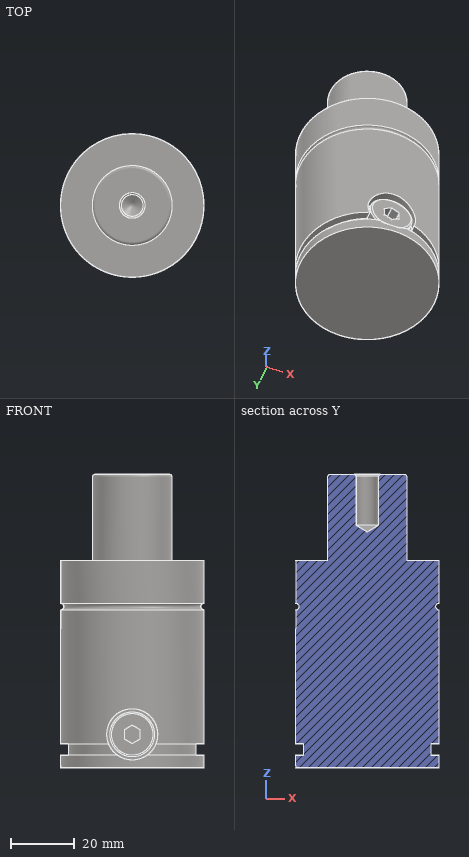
import cadquery as cq
import math

body_diameter = 45.0
body_radius = body_diameter / 2
shoulder_height = 65.0
overall_height = 92.0

clamp_groove_diameter = 40.0
clamp_groove_bottom = 4.0
clamp_groove_top = 7.5

round_groove_radius = 1.0
round_groove_height = 50.5

rod_diameter = 25.0
rod_edge_radius = 1.0

hole_diameter = 6.8
hole_depth = 16.0
hole_mouth_diameter = 8.0
drill_point_angle = 118.0

port_height = 10.5
port_diameter = 16.0
port_floor = 17.5
plug_diameter = 14.0
plug_face = 21.0
plug_chamfer = 0.5
socket_across_flats = 5.0
socket_depth = 4.0


def make_body():
    """Body and rod turned about Z, with both grooves."""
    body = cq.Workplane("XY").circle(body_radius).extrude(shoulder_height)
    rod = (
        cq.Workplane("XY", origin=(0, 0, shoulder_height))
        .circle(rod_diameter / 2)
        .extrude(overall_height - shoulder_height)
        .faces(">Z").edges().fillet(rod_edge_radius)
    )
    clamp_groove = (
        cq.Workplane("XY", origin=(0, 0, clamp_groove_bottom))
        .circle(body_radius)
        .circle(clamp_groove_diameter / 2)
        .extrude(clamp_groove_top - clamp_groove_bottom)
    )
    round_groove = cq.Workplane(
        cq.Solid.makeTorus(
            body_radius,
            round_groove_radius,
            cq.Vector(0, 0, round_groove_height),
            cq.Vector(0, 0, 1),
        )
    )
    return body.union(rod).cut(clamp_groove).cut(round_groove)


def make_rod_hole():
    """Blind drilled hole with a 45 degree countersink and a conical bottom."""
    hole_radius = hole_diameter / 2
    mouth_radius = hole_mouth_diameter / 2
    countersink_depth = mouth_radius - hole_radius
    point_length = hole_radius / math.tan(math.radians(drill_point_angle / 2))
    hole_bottom = overall_height - hole_depth
    return (
        cq.Workplane("XZ")
        .moveTo(0, overall_height)
        .lineTo(mouth_radius, overall_height)
        .lineTo(hole_radius, overall_height - countersink_depth)
        .lineTo(hole_radius, hole_bottom)
        .lineTo(0, hole_bottom - point_length)
        .close()
        .revolve(360, (0, 0, 0), (0, 1, 0))
    )


def port_plane(distance_from_axis):
    """Plane facing -Y, centred on the port."""
    return cq.Workplane("XZ", origin=(0, -distance_from_axis, port_height))


def make_port():
    """Flat-bottomed round pocket open to the -Y side."""
    return port_plane(port_floor).circle(port_diameter / 2).extrude(body_radius - port_floor)


def make_plug():
    """Chamfered round plug standing on the pocket floor."""
    return (
        port_plane(port_floor)
        .circle(plug_diameter / 2)
        .extrude(plug_face - port_floor)
        .faces("<Y").edges().chamfer(plug_chamfer)
    )


def make_socket():
    """Hexagon socket with corners pointing up and down."""
    corner_diameter = socket_across_flats / math.cos(math.pi / 6)
    return (
        port_plane(plug_face)
        .transformed(rotate=(0, 0, 90))
        .polygon(6, corner_diameter)
        .extrude(-socket_depth)
    )


result = make_body().cut(make_rod_hole()).cut(make_port()).union(make_plug()).cut(make_socket())